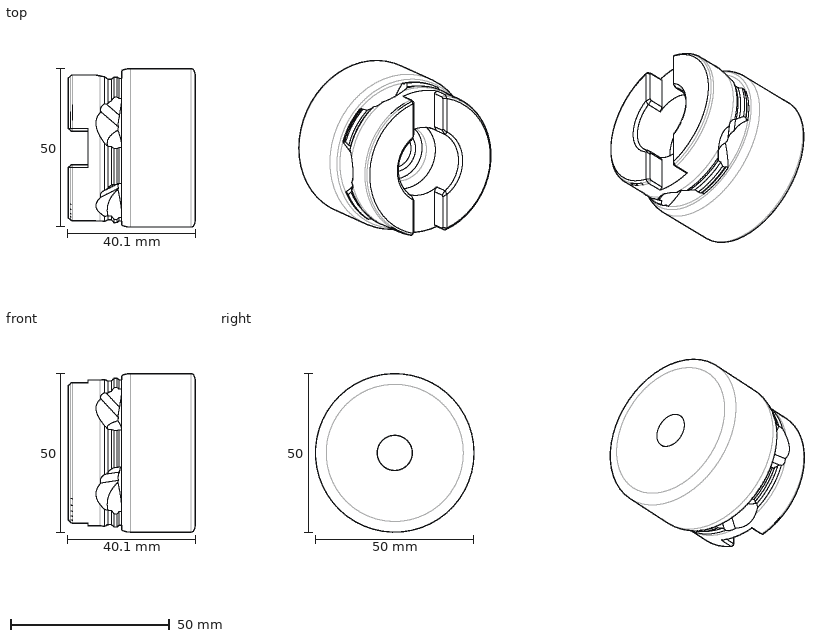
import cadquery as cq
import math


nose_radius = 23.0
nose_end = 10.05
edge_chamfer = 0.95
edge_blend_radius = 1.05

bead_x, bead_radius = 11.5, 23.15
groove_start, groove_end, groove_radius = 12.45, 13.6, 22.65
ring_start, ring_end, ring_radius = 14.45, 15.4, 23.55
neck_shoulder = 16.0

flange_start = 16.85
flange_radius = 25.0
lip_start_radius = 24.1
lip_bend = (17.4, 24.65)
lip_end = 19.65
rim_start = 38.6
rim_bend = (39.7, 24.2)
rim_end_radius = 21.6
total_length = 40.05

slot_width = 10.5
slot_depth = 6.2
selection_margin = 0.05

bore_radius = 11.0
bore_depth = 15.25
inner_radius = 8.95
mouth_round = bore_radius - inner_radius
inner_depth = 20.0
hole_radius = 5.5
hole_chamfer = 1.05

pocket_count = 5
pocket_floor = 13.65
back_wall_inner_x, back_wall_inner_radius = 15.65, 16.5
scallop_direction = cq.Vector(-0.85, -1, -0.13)
scallop_length = 80.0
scallops = [
    ((25.4, -15.35), 10.0),
    ((20.45, -8.3), 3.0),
    ((23.25, -6.95), 3.6),
]


def turned(outline):
    """Revolve an outline drawn in XY about the X axis."""
    return outline.close().revolve(360, (0, 0, 0), (1, 0, 0))


def make_body():
    """Turned outer shape, without the bore."""
    blend_setback = edge_blend_radius * math.tan(math.radians(45 / 2))
    blend_offset = blend_setback * math.sin(math.radians(45))
    return turned(
        cq.Workplane("XY")
        .lineTo(0, nose_radius - edge_chamfer)
        .lineTo(edge_chamfer - blend_offset, nose_radius - blend_offset)
        .radiusArc((edge_chamfer + blend_setback, nose_radius), edge_blend_radius)
        .lineTo(nose_end, nose_radius)
        .lineTo(bead_x, bead_radius)
        .lineTo(groove_start, groove_radius)
        .lineTo(groove_end, groove_radius)
        .lineTo(ring_start, ring_radius)
        .lineTo(ring_end, ring_radius)
        .lineTo(neck_shoulder, nose_radius)
        .lineTo(flange_start, nose_radius)
        .lineTo(flange_start, lip_start_radius)
        .spline([lip_bend, (lip_end, flange_radius)], tangents=[(0, 1), (1, 0)], includeCurrent=True)
        .lineTo(rim_start, flange_radius)
        .spline([rim_bend, (total_length, rim_end_radius)], tangents=[(1, 0), (0, -1)], includeCurrent=True)
        .lineTo(total_length, 0)
    )


def make_bore():
    """Chamfered bore, rounded step to a smaller bore, and a chamfered through hole."""
    return turned(
        cq.Workplane("XY")
        .lineTo(0, bore_radius + edge_chamfer)
        .lineTo(edge_chamfer, bore_radius)
        .lineTo(bore_depth, bore_radius)
        .radiusArc((bore_depth + mouth_round, inner_radius), -mouth_round)
        .lineTo(inner_depth, inner_radius)
        .lineTo(inner_depth, hole_radius + hole_chamfer)
        .lineTo(inner_depth + hole_chamfer, hole_radius)
        .lineTo(total_length, hole_radius)
        .lineTo(total_length, 0)
    )


def cut_slot(body):
    """Cut the slot across the nose and chamfer the free edges of its four walls."""
    slot = cq.Workplane("XY").box(2 * slot_depth, slot_width, 2 * flange_radius)
    slotted = body.cut(slot)
    wall_reach = slot_width / 2 + selection_margin
    wall_zone = cq.selectors.BoxSelector(
        (-selection_margin, -wall_reach, -flange_radius),
        (slot_depth - selection_margin, wall_reach, flange_radius),
    )
    return slotted.edges(wall_zone).chamfer(edge_chamfer)


def make_scallop(floor_point, radius):
    """Slanted round cutter whose axis crosses the pocket floor at the given (x, z)."""
    x, z = floor_point
    direction = scallop_direction.normalized()
    start = cq.Vector(x, -pocket_floor, z) - direction * (scallop_length / 2)
    return cq.Workplane(cq.Solid.makeCylinder(radius, scallop_length, start, direction))


def make_pocket():
    """Overlapping scallops, kept above a flat floor and in front of a dished back wall."""
    room = turned(
        cq.Workplane("XY")
        .lineTo(0, flange_radius)
        .lineTo(flange_start, flange_radius)
        .lineTo(flange_start, nose_radius)
        .tangentArcPoint((back_wall_inner_x, back_wall_inner_radius), relative=False)
        .lineTo(back_wall_inner_x, 0)
    )
    above_floor = cq.Workplane("XY").box(
        2 * total_length, flange_radius, 2 * flange_radius
    ).translate((0, -pocket_floor - flange_radius / 2, 0))
    cutter = make_scallop(*scallops[0])
    for floor_point, radius in scallops[1:]:
        cutter = cutter.union(make_scallop(floor_point, radius))
    return cutter.intersect(room).intersect(above_floor)


result = cut_slot(make_body().cut(make_bore()))
pocket = make_pocket()
for index in range(pocket_count):
    result = result.cut(pocket.rotate((0, 0, 0), (1, 0, 0), index * 360 / pocket_count))